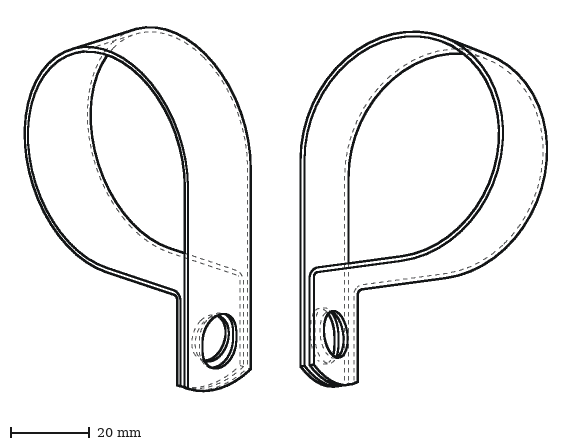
import cadquery as cq
import math

outer_width = 59.59
strap_width = 22.23
overall_height = 86.13
thickness = 1.22
leg_gap = 1.5
bend_inner_radius = 1.22
hole_diameter = 11.91
slot_width = hole_diameter
slot_length = 14.29
hole_above_tip = 12.7
tip_radius = 25.4

loop_outer = outer_width / 2
loop_inner = loop_outer - thickness
bend_outer_radius = bend_inner_radius + thickness
tip_z = loop_outer - overall_height
short_leg_outer_x = loop_inner - leg_gap
short_leg_inner_x = short_leg_outer_x - thickness
bend_x = short_leg_outer_x - bend_outer_radius
bend_z = -loop_inner - bend_outer_radius
half_width = strap_width / 2


def arc_middle(center_x, center_z, radius, side):
    """Point at 45 degrees on a circle: side 1 is towards +X +Z, side -1 towards -X -Z."""
    offset = side * radius * math.sqrt(0.5)
    return (center_x + offset, center_z + offset)


def make_strap():
    """Loop, shelf, bend and both legs as one constant-thickness strip."""
    return (
        cq.Workplane("XZ")
        .moveTo(loop_outer, tip_z)
        .lineTo(loop_outer, 0)
        .threePointArc((0, loop_outer), (-loop_outer, 0))
        .threePointArc(arc_middle(0, 0, loop_outer, -1), (0, -loop_outer))
        .lineTo(bend_x, -loop_outer)
        .threePointArc(
            arc_middle(bend_x, bend_z, bend_inner_radius, 1),
            (short_leg_inner_x, bend_z),
        )
        .lineTo(short_leg_inner_x, tip_z)
        .lineTo(short_leg_outer_x, tip_z)
        .lineTo(short_leg_outer_x, bend_z)
        .threePointArc(
            arc_middle(bend_x, bend_z, bend_outer_radius, 1),
            (bend_x, -loop_inner),
        )
        .lineTo(0, -loop_inner)
        .threePointArc(arc_middle(0, 0, loop_inner, -1), (-loop_inner, 0))
        .threePointArc((0, loop_inner), (loop_inner, 0))
        .lineTo(loop_inner, tip_z)
        .close()
        .extrude(half_width, both=True)
    )


def make_side_outline():
    """Prism along X whose lower end is the rounded tip of the legs."""
    corner_z = tip_z + tip_radius - math.sqrt(tip_radius**2 - half_width**2)
    return (
        cq.Workplane("YZ")
        .moveTo(-half_width, loop_outer)
        .lineTo(-half_width, corner_z)
        .threePointArc((0, tip_z), (half_width, corner_z))
        .lineTo(half_width, loop_outer)
        .close()
        .extrude(loop_outer, both=True)
    )


def bolt_plane(start_x):
    """Workplane facing +X at the given X, centred on the bolt axis."""
    return cq.Workplane("YZ", origin=(start_x, 0, tip_z + hole_above_tip))


def make_bolt_hole():
    """Round hole through the short leg."""
    return bolt_plane(short_leg_inner_x).circle(hole_diameter / 2).extrude(thickness)


def make_bolt_slot():
    """Slot, longer along Z, through the long leg."""
    upright = 90
    return bolt_plane(loop_inner).slot2D(slot_length, slot_width, upright).extrude(thickness)


result = (
    make_strap()
    .intersect(make_side_outline())
    .cut(make_bolt_hole())
    .cut(make_bolt_slot())
)